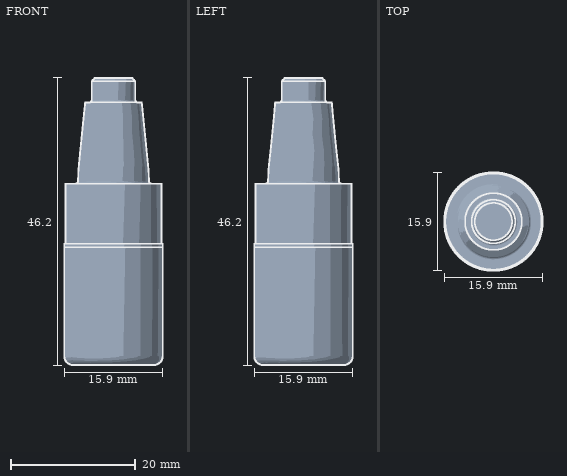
import cadquery as cq
import math

total_height = 46.2
split_height = 19.0
shoulder_height = 29.2
taper_start_height = 31.95
ledge_height = 42.25

base_radius = 15.9 / 2
base_bottom_fillet = 1.5

flange_thickness = 0.55
collar_radius = 15.5 / 2
neck_bottom_radius = 5.75
neck_top_radius = 4.57
tip_radius = 7.0 / 2
tip_chamfer = 0.5
root_fillet = 0.4


def arc_point(center_r, center_z, radius, angle_degrees):
    """Point on a profile arc, as (radius from the axis, height)."""
    angle = math.radians(angle_degrees)
    return center_r + radius * math.cos(angle), center_z + radius * math.sin(angle)


def make_base():
    """Cylinder with a rounded bottom edge."""
    fillet_center_r = base_radius - base_bottom_fillet
    profile = (
        cq.Workplane("XZ")
        .lineTo(fillet_center_r, 0)
        .threePointArc(
            arc_point(fillet_center_r, base_bottom_fillet, base_bottom_fillet, -45),
            (base_radius, base_bottom_fillet),
        )
        .lineTo(base_radius, split_height)
        .lineTo(0, split_height)
        .close()
    )
    return profile.revolve(360, (0, 0, 0), (0, 1, 0))


def make_stem():
    """Flange flush with the base, collar, neck and tip, with fillets at the neck and tip roots."""
    flange_top = split_height + flange_thickness
    neck_foot_height = shoulder_height + root_fillet
    tip_foot_height = ledge_height + root_fillet
    foot_length = taper_start_height - neck_foot_height
    taper_length = ledge_height - taper_start_height
    taper_slope = (neck_bottom_radius - neck_top_radius) / (taper_length + foot_length / 2)
    taper_start_radius = neck_top_radius + taper_slope * taper_length

    profile = (
        cq.Workplane("XZ")
        .moveTo(0, split_height)
        .lineTo(base_radius, split_height)
        .lineTo(base_radius, flange_top)
        .lineTo(collar_radius, flange_top)
        .lineTo(collar_radius, shoulder_height)
        .lineTo(neck_bottom_radius + root_fillet, shoulder_height)
        .threePointArc(
            arc_point(neck_bottom_radius + root_fillet, neck_foot_height, root_fillet, 225),
            (neck_bottom_radius, neck_foot_height),
        )
        .tangentArcPoint((taper_start_radius, taper_start_height), relative=False)
        .lineTo(neck_top_radius, ledge_height)
        .lineTo(tip_radius + root_fillet, ledge_height)
        .threePointArc(
            arc_point(tip_radius + root_fillet, tip_foot_height, root_fillet, 225),
            (tip_radius, tip_foot_height),
        )
        .lineTo(tip_radius, total_height - tip_chamfer)
        .lineTo(tip_radius - tip_chamfer, total_height)
        .lineTo(0, total_height)
        .close()
    )
    return profile.revolve(360, (0, 0, 0), (0, 1, 0))


base = make_base()
stem = make_stem()
result = cq.Compound.makeCompound([base.val(), stem.val()])